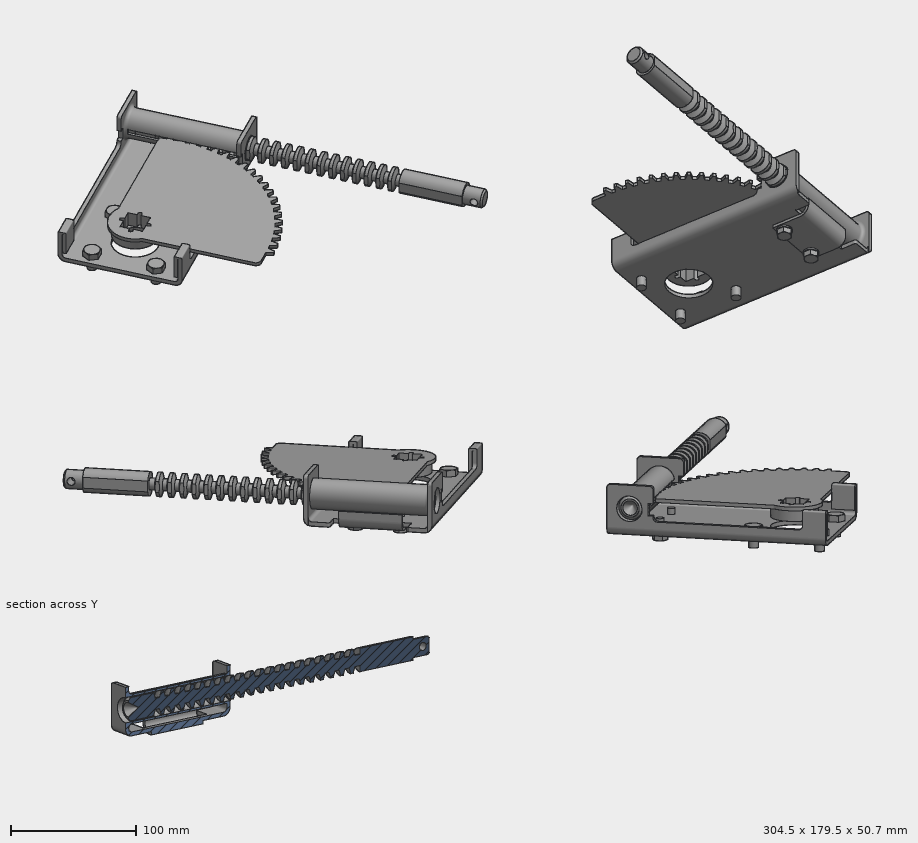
import cadquery as cq
import math

BRACKET_WIDTH = 105.0
BRACKET_LENGTH = 179.5
SHEET = 3.7
BEND_INSIDE = 3.0
BEND_OUTSIDE = BEND_INSIDE + SHEET
BASE_LENGTH = 178.5

TALL_WALL_HEIGHT = 41.7
TALL_WALL_LENGTH = 38.0
TALL_WALL_CORNER = 2.7
SILL_HEIGHT = 12.8
SILL_FILLET = 3.7
FRONT_TAB_HEIGHT = 28.5
FRONT_TAB_LENGTH = 19.0
WALL_NOTCH_DEPTH = 4.0
WALL_NOTCH_HEIGHT = 10.0

HEM_WIDTH = 7.0
HEM_BOTTOM = 8.2
HEM_GAP = 0.3
HEM_GAP_TOP = FRONT_TAB_HEIGHT - 2.5
HEM_ROUND = 1.2

CENTER_X = 52.0
PIVOT_Y = 38.0
AXIS_Y = 161.0
AXIS_Z = 22.5

BACK_NOTCH_WIDTH = 63.5
BACK_NOTCH_Y = 164.5
BACK_NOTCH_CORNER = 1.8

TUBE_DIAMETER = 25.0
BORE_DIAMETER = 20.7
WELD_RADIUS = 3.0
TUBE_SLOT_HEIGHT = 4.5

BOLT_OFFSET = 27.0
BOLT_DIAMETER = 8.0
BOLT_HEAD_FLATS = 13.0
BOLT_HEAD_HEIGHT = 5.5
HEAD_BEVEL_ANGLE = 30
BOLT_REACH = 9.0

CLAMP_WIDTH = 51.7
CLAMP_SHEET = 2.7
CLAMP_FRONT_Y = 138.0
CLAMP_BEND_INSIDE = 5.8
CLAMP_BEND_Y = 164.0
CLAMP_TOP = 12.2
SCREW_OFFSET = 18.5
SCREW_Y = 144.0
SCREW_DIAMETER = 6.0
SCREW_TOP = 8.5
SCREW_HEAD_FLATS = 11.0
WASHER_DIAMETER = 12.8
WASHER_THICKNESS = 1.5

SECTOR_THICKNESS = 3.0
SECTOR_EDGE = 18.5
SECTOR_BOSS_RADIUS = 22.2
SECTOR_CORNER = 4.5
SECTOR_BLEND = 3.0
TEETH_PER_TURN = 72
ROOT_RADIUS = 111.5
TIP_RADIUS = 117.2
TOOTH_ROOT_WIDTH = 6.0
TOOTH_TIP_WIDTH = 2.5
TOOTH_COUNT = 20
HUB_DIAMETER = 38.5
HUB_BOTTOM = 11.5
SQUARE_HOLE = 19.0
KEY_SLOT_LENGTH = 26.2
KEY_SLOT_WIDTH = 3.5

WORM_START = 2.7
WORM_END = 304.5
WORM_DIAMETER = 19.8
WORM_FLATS = 17.7
WORM_FLATS_START = 12.2
WORM_CHAMFER = 2.5
CENTER_HOLE_DIAMETER = 12.0
CENTER_HOLE_ANGLE = 60
CORE_DIAMETER = 9.7
PITCH_RADIUS = 114.5
RING_PITCH = 2 * math.pi * PITCH_RADIUS / TEETH_PER_TURN
RING_TIP_WIDTH = 2.7
RING_ROOT_WIDTH = 6.5
FIRST_GROOVE = -2
RING_COUNT = 20
SHANK_START = 234.7
TAIL_START = 288.0
TAIL_DIAMETER = 15.5
TAIL_CHAMFER = 1.5
PIN_HOLE_X = 297.7
PIN_HOLE_DIAMETER = 6.5


def box(x, y, z):
    """Box between the given (low, high) limits on each axis."""
    low = (x[0], y[0], z[0])
    return cq.Workplane("XY").box(x[1] - x[0], y[1] - y[0], z[1] - z[0], centered=False).translate(low)


def x_cylinder(diameter, start, end):
    """Cylinder along the worm axis."""
    return cq.Workplane("YZ", origin=(start, AXIS_Y, AXIS_Z)).circle(diameter / 2).extrude(end - start)


def z_cylinder(diameter, x, y, bottom, top):
    return cq.Workplane("XY", origin=(x, y, bottom)).circle(diameter / 2).extrude(top - bottom)


def hex_head(flats, x, y, height):
    """Hexagonal head standing on Z = 0, corners pointing along Y, top corners bevelled to a circle."""
    across_corners = flats / math.cos(math.pi / 6)
    head = cq.Workplane("XY").polygon(6, across_corners).extrude(height)
    bevel_run = (across_corners - flats) / 2
    bevel_drop = bevel_run * math.tan(math.radians(HEAD_BEVEL_ANGLE))
    bevelled_disc = (
        cq.Workplane("XY").circle(across_corners / 2).extrude(height)
        .faces(">Z").edges().chamfer(bevel_drop, bevel_run)
    )
    return head.rotate((0, 0, 0), (0, 0, 1), 30).intersect(bevelled_disc).translate((x, y, 0))


def channel():
    """Bent sheet: floor and two full-height walls."""
    outer = (
        box((0, BRACKET_WIDTH), (0, BRACKET_LENGTH), (0, TALL_WALL_HEIGHT))
        .edges("|Y and <Z").fillet(BEND_OUTSIDE)
    )
    inner = (
        box((SHEET, BRACKET_WIDTH - SHEET), (0, BRACKET_LENGTH), (SHEET, TALL_WALL_HEIGHT))
        .edges("|Y and <Z").fillet(BEND_INSIDE)
    )
    return outer.cut(inner)


def wall_outline():
    """Side shape of both walls, as a block across the whole width."""
    tall_y = BRACKET_LENGTH - TALL_WALL_LENGTH
    notch_y = tall_y + WALL_NOTCH_DEPTH
    notch_top = AXIS_Z + WALL_NOTCH_HEIGHT / 2
    notch_bottom = AXIS_Z - WALL_NOTCH_HEIGHT / 2
    block = (
        cq.Workplane("YZ")
        .polyline([
            (0, 0),
            (BRACKET_LENGTH, 0),
            (BRACKET_LENGTH, TALL_WALL_HEIGHT),
            (tall_y, TALL_WALL_HEIGHT),
            (tall_y, notch_top),
            (notch_y, notch_top),
            (notch_y, notch_bottom),
            (tall_y, notch_bottom),
            (tall_y, SILL_HEIGHT),
            (FRONT_TAB_LENGTH, SILL_HEIGHT),
            (FRONT_TAB_LENGTH, FRONT_TAB_HEIGHT),
            (0, FRONT_TAB_HEIGHT),
        ])
        .close()
        .extrude(BRACKET_WIDTH)
    )
    rounded_corners = [
        (BRACKET_LENGTH, TALL_WALL_HEIGHT, TALL_WALL_CORNER),
        (tall_y, TALL_WALL_HEIGHT, TALL_WALL_CORNER),
        (tall_y, SILL_HEIGHT, SILL_FILLET),
        (FRONT_TAB_LENGTH, SILL_HEIGHT, SILL_FILLET),
    ]
    for y, z, radius in rounded_corners:
        corner = cq.selectors.NearestToPointSelector((BRACKET_WIDTH / 2, y, z))
        block = block.edges(corner).fillet(radius)
    return block


def back_notch():
    """Opening in the rear edge of the floor for the clamp's upturned end."""
    half = BACK_NOTCH_WIDTH / 2
    notch = box((CENTER_X - half, CENTER_X + half), (BACK_NOTCH_Y, BASE_LENGTH), (0, SHEET))
    rear_strip = box((SHEET, BRACKET_WIDTH - SHEET), (BASE_LENGTH, BRACKET_LENGTH), (0, BEND_OUTSIDE))
    return notch.union(rear_strip)


def left_hem():
    """Folded-over inner leaf of the left front tab, with the narrow gap behind it."""
    leaf = box((0, HEM_WIDTH), (0, FRONT_TAB_LENGTH), (HEM_BOTTOM, FRONT_TAB_HEIGHT))
    gap = box((SHEET, SHEET + HEM_GAP), (0, FRONT_TAB_LENGTH), (HEM_BOTTOM, HEM_GAP_TOP))
    return leaf.edges("|Y and >Z").fillet(HEM_ROUND).cut(gap)


def bracket():
    body = channel().intersect(wall_outline()).cut(back_notch())
    for side in (-1, 1):
        corner_x = CENTER_X + side * BACK_NOTCH_WIDTH / 2
        corner = cq.selectors.NearestToPointSelector((corner_x, BASE_LENGTH, SHEET / 2))
        body = body.edges(corner).fillet(BACK_NOTCH_CORNER)
    body = body.cut(z_cylinder(HUB_DIAMETER, CENTER_X, PIVOT_Y, 0, SHEET))
    plain_tabs = box((0, BRACKET_WIDTH), (0, FRONT_TAB_LENGTH), (HEM_BOTTOM, FRONT_TAB_HEIGHT))
    hem = left_hem()
    other_hem = hem.mirror("YZ").translate((BRACKET_WIDTH, 0, 0))
    return body.cut(plain_tabs).union(hem).union(other_hem)


def tube_with_weld():
    """Worm tube between the walls, with a concave weld bead at its left end."""
    tube = x_cylinder(TUBE_DIAMETER, 0, BRACKET_WIDTH)
    radius = TUBE_DIAMETER / 2
    weld_middle = WELD_RADIUS * (1 - math.sqrt(0.5))
    weld = (
        cq.Workplane("XY", origin=(SHEET, AXIS_Y, AXIS_Z))
        .lineTo(0, radius + WELD_RADIUS)
        .threePointArc((weld_middle, radius + weld_middle), (WELD_RADIUS, radius))
        .lineTo(WELD_RADIUS, 0)
        .close()
        .revolve(360, (0, 0, 0), (1, 0, 0))
    )
    return tube.union(weld)


def tube_slot():
    """Slot along the front of the tube that lets the sector reach the worm."""
    half = TUBE_SLOT_HEIGHT / 2
    return box(
        (SHEET + WELD_RADIUS, BRACKET_WIDTH - SHEET),
        (AXIS_Y - TUBE_DIAMETER, AXIS_Y),
        (AXIS_Z - half, AXIS_Z + half),
    )


def clamp():
    """Plate under the floor whose rear end bends up through the notch to the tube."""
    bend_outside = CLAMP_BEND_INSIDE + CLAMP_SHEET
    diagonal = math.sqrt(0.5)
    bend_z = CLAMP_BEND_INSIDE
    profile = (
        cq.Workplane("YZ", origin=(CENTER_X - CLAMP_WIDTH / 2, 0, 0))
        .moveTo(CLAMP_FRONT_Y, -CLAMP_SHEET)
        .lineTo(CLAMP_BEND_Y, -CLAMP_SHEET)
        .threePointArc(
            (CLAMP_BEND_Y + bend_outside * diagonal, bend_z - bend_outside * diagonal),
            (CLAMP_BEND_Y + bend_outside, bend_z),
        )
        .lineTo(CLAMP_BEND_Y + bend_outside, CLAMP_TOP)
        .lineTo(CLAMP_BEND_Y + CLAMP_BEND_INSIDE, CLAMP_TOP)
        .lineTo(CLAMP_BEND_Y + CLAMP_BEND_INSIDE, bend_z)
        .threePointArc(
            (CLAMP_BEND_Y + CLAMP_BEND_INSIDE * diagonal, bend_z - CLAMP_BEND_INSIDE * diagonal),
            (CLAMP_BEND_Y, 0),
        )
        .lineTo(CLAMP_FRONT_Y, 0)
        .close()
    )
    return profile.extrude(CLAMP_WIDTH)


def bolt(x, y):
    """Hex bolt with its head on the floor and its shank standing out below."""
    head = hex_head(BOLT_HEAD_FLATS, x, y, BOLT_HEAD_HEIGHT).translate((0, 0, SHEET))
    return head.union(z_cylinder(BOLT_DIAMETER, x, y, -BOLT_REACH, SHEET))


def clamp_screw(x):
    """Hex screw with its head and washer under the clamp and its tip above the floor."""
    washer_bottom = -CLAMP_SHEET - WASHER_THICKNESS
    head = hex_head(SCREW_HEAD_FLATS, x, SCREW_Y, BOLT_REACH + washer_bottom)
    head = head.mirror("XY").translate((0, 0, washer_bottom))
    washer = z_cylinder(WASHER_DIAMETER, x, SCREW_Y, washer_bottom, -CLAMP_SHEET)
    return head.union(washer).union(z_cylinder(SCREW_DIAMETER, x, SCREW_Y, -CLAMP_SHEET, SCREW_TOP))


def make_housing():
    body = bracket().union(tube_with_weld()).union(clamp())
    body = body.cut(x_cylinder(BORE_DIAMETER, 0, BRACKET_WIDTH)).cut(tube_slot())
    for x_side, y_side in ((-1, -1), (1, -1), (-1, 1)):
        body = body.union(bolt(CENTER_X + x_side * BOLT_OFFSET, PIVOT_Y + y_side * BOLT_OFFSET))
    for side in (-1, 1):
        body = body.union(clamp_screw(CENTER_X + side * SCREW_OFFSET))
    return body


def sector_blank():
    """Quarter plate up to the tooth roots, blended into a round boss at the pivot."""
    top_y = math.sqrt(ROOT_RADIUS**2 - SECTOR_EDGE**2)
    diagonal = ROOT_RADIUS * math.sqrt(0.5)
    plate = (
        cq.Workplane("XY")
        .moveTo(0, -SECTOR_EDGE)
        .lineTo(ROOT_RADIUS, -SECTOR_EDGE)
        .lineTo(ROOT_RADIUS, 0)
        .threePointArc((diagonal, diagonal), (-SECTOR_EDGE, top_y))
        .lineTo(-SECTOR_EDGE, 0)
        .lineTo(0, 0)
        .close()
        .extrude(SECTOR_THICKNESS)
        .edges("|Z and >X and <Y").fillet(SECTOR_CORNER)
    )
    plate = plate.union(cq.Workplane("XY").circle(SECTOR_BOSS_RADIUS).extrude(SECTOR_THICKNESS))
    meeting = math.sqrt(SECTOR_BOSS_RADIUS**2 - SECTOR_EDGE**2)
    for x, y in ((-SECTOR_EDGE, meeting), (meeting, -SECTOR_EDGE)):
        corner = cq.selectors.NearestToPointSelector((x, y, SECTOR_THICKNESS / 2))
        plate = plate.edges(corner).fillet(SECTOR_BLEND)
    return plate


def tooth(angle):
    sunk_radius = ROOT_RADIUS - TOOTH_ROOT_WIDTH / 2
    shape = (
        cq.Workplane("XY")
        .polyline([
            (sunk_radius, -TOOTH_ROOT_WIDTH / 2),
            (ROOT_RADIUS, -TOOTH_ROOT_WIDTH / 2),
            (TIP_RADIUS, -TOOTH_TIP_WIDTH / 2),
            (TIP_RADIUS, TOOTH_TIP_WIDTH / 2),
            (ROOT_RADIUS, TOOTH_ROOT_WIDTH / 2),
            (sunk_radius, TOOTH_ROOT_WIDTH / 2),
        ])
        .close()
        .extrude(SECTOR_THICKNESS)
    )
    return shape.rotate((0, 0, 0), (0, 0, 1), angle)


def make_sector():
    body = sector_blank()
    for index in range(TOOTH_COUNT):
        body = body.union(tooth(index * 360 / TEETH_PER_TURN))
    plate_bottom = AXIS_Z - SECTOR_THICKNESS / 2
    hub_height = plate_bottom - HUB_BOTTOM
    body = body.union(cq.Workplane("XY").circle(HUB_DIAMETER / 2).extrude(-hub_height))
    hole_depth = hub_height + SECTOR_THICKNESS
    hole = (
        cq.Workplane("XY", origin=(0, 0, -hub_height))
        .rect(SQUARE_HOLE, SQUARE_HOLE)
        .extrude(hole_depth)
    )
    for angle in (0, 90):
        slot = cq.Workplane("XY", origin=(0, 0, -hub_height)).slot2D(KEY_SLOT_LENGTH, KEY_SLOT_WIDTH, angle)
        hole = hole.union(slot.extrude(hole_depth))
    return body.cut(hole).translate((CENTER_X, PIVOT_Y, plate_bottom))


def worm_profile():
    """Half outline of the worm as (X, radius) points, from its left end to its right end."""
    outer = WORM_DIAMETER / 2
    core = CORE_DIAMETER / 2
    tail = TAIL_DIAMETER / 2
    points = [(WORM_START, 0), (WORM_START, outer - WORM_CHAMFER), (WORM_START + WORM_CHAMFER, outer)]
    first_groove_x = CENTER_X + FIRST_GROOVE * RING_PITCH
    first_root = first_groove_x - (RING_PITCH - RING_ROOT_WIDTH) / 2
    first_tip = first_groove_x - (RING_PITCH - RING_TIP_WIDTH) / 2
    points += [(first_tip, outer), (first_root, core)]
    for index in range(RING_COUNT):
        ring_x = first_groove_x + (index + 0.5) * RING_PITCH
        points += [
            (ring_x - RING_ROOT_WIDTH / 2, core),
            (ring_x - RING_TIP_WIDTH / 2, outer),
            (ring_x + RING_TIP_WIDTH / 2, outer),
            (ring_x + RING_ROOT_WIDTH / 2, core),
        ]
    points += [
        (SHANK_START, core),
        (SHANK_START, outer),
        (TAIL_START, outer),
        (TAIL_START, tail),
        (WORM_END - TAIL_CHAMFER, tail),
        (WORM_END, tail - TAIL_CHAMFER),
        (WORM_END, 0),
    ]
    return points


def worm_flats():
    """Material removed in front of and behind the worm to leave two parallel flats."""
    side = box(
        (WORM_FLATS_START, TAIL_START),
        (WORM_FLATS / 2, WORM_DIAMETER),
        (-WORM_DIAMETER, WORM_DIAMETER),
    )
    return side.union(side.mirror("XZ"))


def center_hole():
    """Conical hole in the worm's left end."""
    radius = CENTER_HOLE_DIAMETER / 2
    depth = radius / math.tan(math.radians(CENTER_HOLE_ANGLE / 2))
    return cq.Workplane(cq.Solid.makeCone(radius, 0, depth, cq.Vector(WORM_START, 0, 0), cq.Vector(1, 0, 0)))


def make_worm():
    body = cq.Workplane("XY").polyline(worm_profile()).close().revolve(360, (0, 0, 0), (1, 0, 0))
    body = body.cut(worm_flats()).cut(center_hole())
    pin_hole = (
        cq.Workplane("XZ", origin=(PIN_HOLE_X, WORM_DIAMETER / 2, 0))
        .circle(PIN_HOLE_DIAMETER / 2)
        .extrude(WORM_DIAMETER)
    )
    return body.cut(pin_hole).translate((0, AXIS_Y, AXIS_Z))


housing = make_housing()
sector = make_sector()
worm = make_worm()

result = cq.Compound.makeCompound([
    housing.solids().val(),
    sector.solids().val(),
    worm.solids().val(),
])